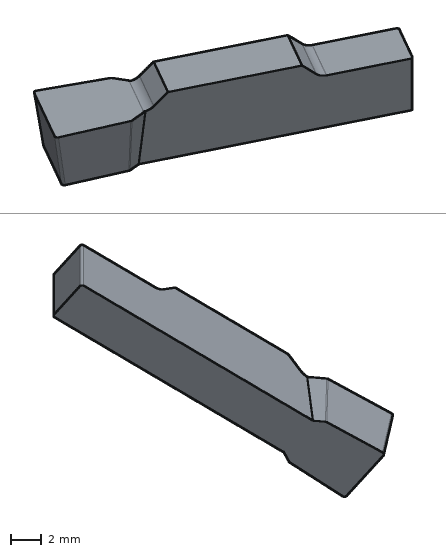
import cadquery as cq
import math

length = 25.05
height = 5.79
ledge_height = 4.5

shank_width = 3.25
shank_start = 3.75
rear_corner_radius = 0.18
rib_front = 8.07
rib_back = 17.35
ramp_angle = 45.0
ramp_root_radius = 1.0

nose_width = 5.025
neck_width = 4.6
neck_y = 5.34
flank_angle = 60.0
side_relief = 3.0
front_relief = 7.0
head_corner_radius = 0.2
nose_allowance = 0.75
flank_inner_half_width = 0.75


def make_shank():
    """Side profile with the raised rib, extruded across the shank width."""
    ramp_run = (height - ledge_height) / math.tan(math.radians(ramp_angle))
    ramp_feet = (rib_front - ramp_run, rib_back + ramp_run)
    profile = [
        (shank_start, 0),
        (length, 0),
        (length, ledge_height),
        (ramp_feet[1], ledge_height),
        (rib_back, height),
        (rib_front, height),
        (ramp_feet[0], ledge_height),
        (shank_start, ledge_height),
    ]
    shank = cq.Workplane("YZ").polyline(profile).close().extrude(shank_width / 2, both=True)
    for foot_y in ramp_feet:
        root = cq.NearestToPointSelector((0, foot_y, ledge_height))
        shank = shank.edges("|X").edges(root).fillet(ramp_root_radius)
    return shank.faces(">Y").edges("|Z").fillet(rear_corner_radius)


def make_head():
    """Outline drafted inward toward the underside, then trimmed at the nose."""
    nose_half = nose_width / 2
    neck_half = neck_width / 2
    side_slope = (nose_half - neck_half) / neck_y
    front_half = nose_half + nose_allowance * side_slope
    flank_run = neck_half - flank_inner_half_width
    flank_end_y = neck_y + flank_run * math.tan(math.radians(flank_angle))
    right_side = [
        (front_half, -nose_allowance),
        (neck_half, neck_y),
        (flank_inner_half_width, flank_end_y),
    ]
    left_side = [(-x, y) for x, y in reversed(right_side)]
    head = (
        cq.Workplane("XY", origin=(0, 0, ledge_height))
        .polyline(right_side + left_side)
        .close()
        .extrude(-ledge_height, taper=side_relief)
    )

    front_setback = ledge_height * math.tan(math.radians(front_relief))
    trim_profile = [
        (0, ledge_height),
        (front_setback, 0),
        (length, 0),
        (length, ledge_height),
    ]
    trim = cq.Workplane("YZ").polyline(trim_profile).close().extrude(nose_width, both=True)
    head = head.intersect(trim)

    mid_height = ledge_height / 2
    for sign in (-1, 1):
        for half_width, y in ((nose_half, front_setback / 2), (neck_half, neck_y)):
            corner = cq.NearestToPointSelector((sign * half_width, y, mid_height))
            head = head.edges(corner).fillet(head_corner_radius)
    return head


result = make_shank().union(make_head())